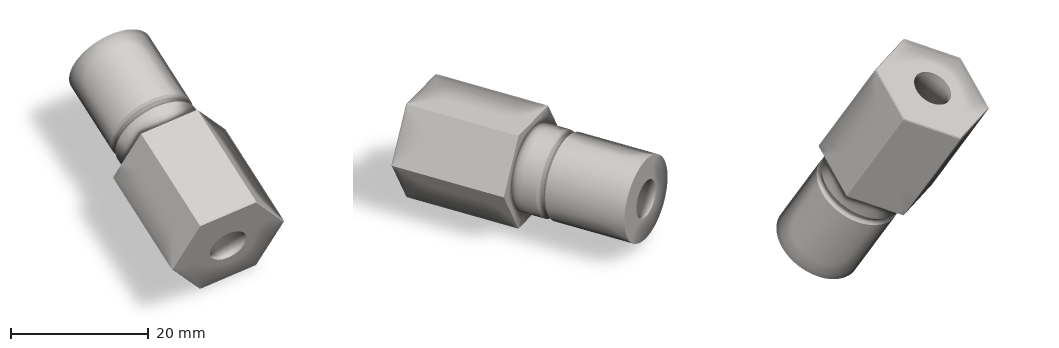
import cadquery as cq
import math

total_length = 37.0
hex_length = total_length / 2
spigot_length = total_length - hex_length

spigot_diameter = 13.5
bore_diameter = 6.0
across_flats = 16.0
across_corners = across_flats / math.cos(math.radians(30))

groove_start = 13.0
groove_floor_width = 0.5
groove_depth = 0.5

chamfer_length = 0.2
chamfer_drop = chamfer_length * math.tan(math.radians(30))


def make_spigot():
    """Turned spigot with its groove, revolved about the X axis."""
    outer_radius = spigot_diameter / 2
    floor_radius = outer_radius - groove_depth
    floor_start = groove_start + groove_depth
    floor_end = floor_start + groove_floor_width
    profile = (
        cq.Workplane("XY")
        .moveTo(0, 0)
        .lineTo(0, outer_radius)
        .lineTo(groove_start, outer_radius)
        .lineTo(floor_start, floor_radius)
        .lineTo(floor_end, floor_radius)
        .lineTo(floor_end + groove_depth, outer_radius)
        .lineTo(spigot_length, outer_radius)
        .lineTo(spigot_length, 0)
        .close()
    )
    return profile.revolve(360, (0, 0, 0), (1, 0, 0))


def make_hexagon():
    """Hexagonal body with corners on the Y axis and a chamfered far end."""
    body = (
        cq.Workplane("YZ")
        .workplane(offset=spigot_length)
        .polygon(6, across_corners)
        .extrude(hex_length - chamfer_length)
    )
    end_taper = math.degrees(math.atan2(chamfer_drop, chamfer_length))
    chamfered_end = (
        cq.Workplane("YZ")
        .workplane(offset=total_length - chamfer_length)
        .polygon(6, across_corners)
        .extrude(chamfer_length, taper=end_taper)
    )
    return body.union(chamfered_end)


def make_bore():
    """Straight through bore along the X axis."""
    return cq.Workplane("YZ").circle(bore_diameter / 2).extrude(total_length)


result = make_spigot().union(make_hexagon()).cut(make_bore())